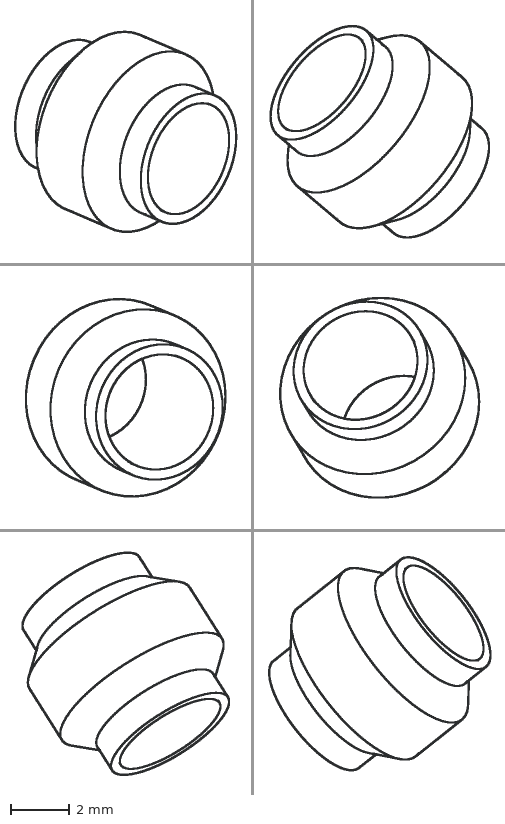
import cadquery as cq

length = 6.0
body_diameter = 6.5
neck_diameter = 4.7
bore_diameter = 4.0
neck_length = 1.0

body_radius = body_diameter / 2
neck_radius = neck_diameter / 2
bore_radius = bore_diameter / 2
cone_length = body_radius - neck_radius
end_x = length / 2
cone_start_x = end_x - neck_length
body_end_x = cone_start_x - cone_length

wall_section = (
    cq.Workplane("XY")
    .moveTo(-end_x, bore_radius)
    .lineTo(-end_x, neck_radius)
    .lineTo(-cone_start_x, neck_radius)
    .lineTo(-body_end_x, body_radius)
    .lineTo(body_end_x, body_radius)
    .lineTo(cone_start_x, neck_radius)
    .lineTo(end_x, neck_radius)
    .lineTo(end_x, bore_radius)
    .close()
)

result = wall_section.revolve(360, (0, 0, 0), (1, 0, 0))